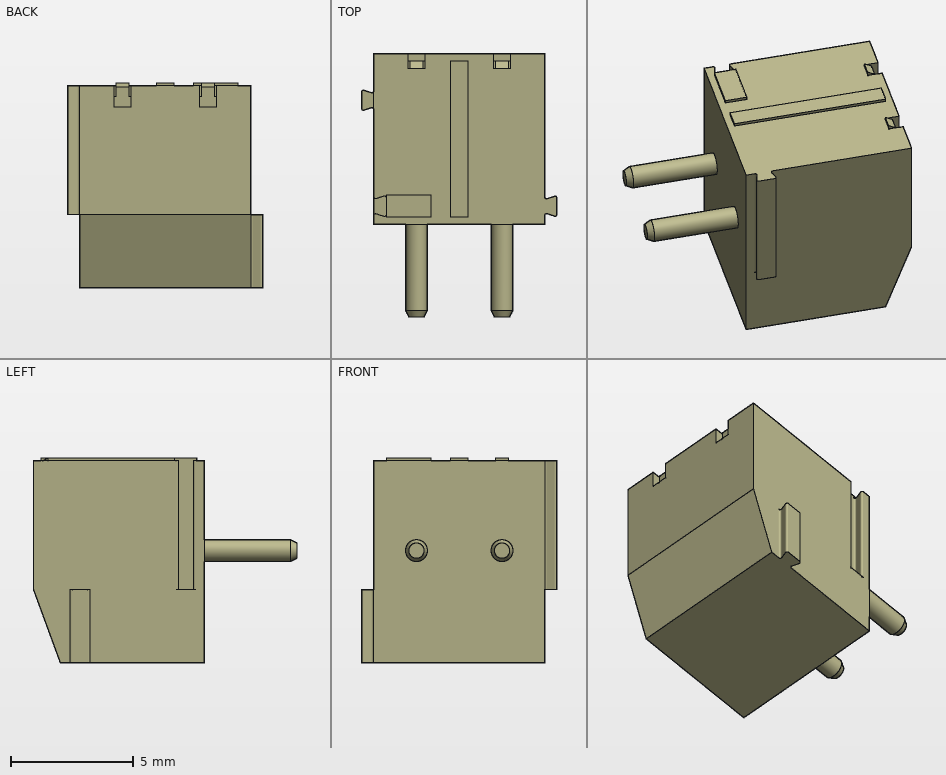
import cadquery as cq
import math

WIDTH = 7.01
DEPTH = 7.0
HEIGHT = 8.28
STEP_HEIGHT = 3.0
BEVEL_INSET = 1.1
LEFT_FACE = -WIDTH / 2
RIGHT_FACE = WIDTH / 2

DOVETAIL_ROOT = 0.56
DOVETAIL_ANGLE = 18.0
DOVETAIL_ROUND = 0.08
RAIL_DEPTH = 0.5
GROOVE_DEPTH = 0.52
FRONT_DOVETAIL_Y = 0.75
REAR_RAIL_Y = 5.09

PIN_PITCH = WIDTH / 2
PIN_XS = [-PIN_PITCH / 2, PIN_PITCH / 2]
PIN_Z = 4.6
PIN_LENGTH = 3.8
PIN_DIAMETER = 0.9
PIN_TIP_DIAMETER = 0.63
PIN_TIP_LENGTH = 0.27

NOTCH_WIDTH = 0.68
NOTCH_RUN = 0.6
NOTCH_DEPTH = 0.86
NOTCH_FRONT_Y = DEPTH - NOTCH_RUN
NOTCH_FLOOR_Z = HEIGHT - NOTCH_DEPTH

BUTTON_BASE_HEIGHT = NOTCH_DEPTH / 2
BUTTON_RUN = NOTCH_RUN / 2
BUTTON_HEAD_WIDTH = 0.54
BUTTON_SLOPE = 30.0

RAISED = 0.12
STRIP_WIDTH = 0.72
PLATE_MARGIN = 0.3
PAD_LENGTH = 1.84
PAD_DEPTH = 0.91


def dovetail(depth):
    """Closed dovetail outline flaring toward +X from a wall on X = 0, with rounded corners."""
    angle = math.radians(DOVETAIL_ANGLE)
    root = DOVETAIL_ROOT / 2
    tip = root + depth * math.tan(angle)
    tangent = DOVETAIL_ROUND / math.tan((math.pi / 2 - angle) / 2)
    along_x = tangent * math.cos(angle)
    along_y = tangent * math.sin(angle)
    return (
        cq.Workplane("XY")
        .moveTo(0, -root - tangent)
        .radiusArc((along_x, -root - along_y), DOVETAIL_ROUND)
        .lineTo(depth - along_x, -tip + along_y)
        .radiusArc((depth, -tip + tangent), -DOVETAIL_ROUND)
        .lineTo(depth, tip - tangent)
        .radiusArc((depth - along_x, tip - along_y), -DOVETAIL_ROUND)
        .lineTo(along_x, root + along_y)
        .radiusArc((0, root + tangent), DOVETAIL_ROUND)
        .close()
    )


def make_notch(x):
    """Box cutter for a notch in the top rear edge."""
    notch = cq.Workplane("XY").box(NOTCH_WIDTH, NOTCH_RUN, NOTCH_DEPTH, centered=(True, False, False))
    return notch.translate((x, NOTCH_FRONT_Y, NOTCH_FLOOR_Z))


def make_top_plate(left_x, length_x, length_y):
    """Thin plate on the top face, set back from the front edge by the plate margin."""
    plate = cq.Workplane("XY").box(length_x, length_y, RAISED, centered=False)
    return plate.translate((left_x, PLATE_MARGIN, HEIGHT))


def make_housing():
    """Block with a rear bevel, dovetail rails and groove, two notches and raised top plates."""
    block = (
        cq.Workplane("YZ")
        .polyline([
            (0, 0),
            (DEPTH - BEVEL_INSET, 0),
            (DEPTH, STEP_HEIGHT),
            (DEPTH, HEIGHT),
            (0, HEIGHT),
        ])
        .close()
        .extrude(WIDTH / 2, both=True)
    )
    upper_height = HEIGHT - STEP_HEIGHT
    right_rail = dovetail(RAIL_DEPTH).extrude(upper_height)
    right_rail = right_rail.translate((RIGHT_FACE, FRONT_DOVETAIL_Y, STEP_HEIGHT))
    left_rail = dovetail(RAIL_DEPTH).extrude(STEP_HEIGHT).mirror("YZ")
    left_rail = left_rail.translate((LEFT_FACE, REAR_RAIL_Y, 0))
    groove = dovetail(GROOVE_DEPTH).extrude(upper_height)
    groove = groove.translate((LEFT_FACE, FRONT_DOVETAIL_Y, STEP_HEIGHT))

    strip = make_top_plate(-STRIP_WIDTH / 2, STRIP_WIDTH, DEPTH - 2 * PLATE_MARGIN)
    pad = make_top_plate(LEFT_FACE + GROOVE_DEPTH, PAD_LENGTH, PAD_DEPTH)

    housing = block.union(right_rail).union(left_rail).cut(groove).union(strip).union(pad)
    for x in PIN_XS:
        housing = housing.cut(make_notch(x))
    return housing


def make_pin(x):
    """Round pin standing on the front face, with a tapered tip."""
    radius = PIN_DIAMETER / 2
    tip_radius = PIN_TIP_DIAMETER / 2
    return (
        cq.Workplane("YZ", origin=(x, 0, PIN_Z))
        .polyline([
            (0, 0),
            (0, radius),
            (PIN_TIP_LENGTH - PIN_LENGTH, radius),
            (-PIN_LENGTH, tip_radius),
            (-PIN_LENGTH, 0),
        ])
        .close()
        .revolve(360, (0, 0), (1, 0))
    )


def make_button(x):
    """Button against the notch's front wall, its head standing on a wider base."""
    base = cq.Workplane("XY").box(
        NOTCH_WIDTH, BUTTON_RUN, BUTTON_BASE_HEIGHT, centered=(True, False, False)
    )
    base = base.translate((x, NOTCH_FRONT_Y, NOTCH_FLOOR_Z))

    head_z = NOTCH_FLOOR_Z + BUTTON_BASE_HEIGHT
    ridge_z = HEIGHT + RAISED
    rear_y = NOTCH_FRONT_Y + BUTTON_RUN
    rear_z = ridge_z - BUTTON_RUN * math.tan(math.radians(BUTTON_SLOPE))
    head = (
        cq.Workplane("YZ", origin=(x, 0, 0))
        .polyline([
            (NOTCH_FRONT_Y, head_z),
            (rear_y, head_z),
            (rear_y, rear_z),
            (NOTCH_FRONT_Y, ridge_z),
        ])
        .close()
        .extrude(BUTTON_HEAD_WIDTH / 2, both=True)
    )
    return base.union(head)


housing = make_housing()
pins = [make_pin(x) for x in PIN_XS]
buttons = [make_button(x) for x in PIN_XS]

result = cq.Compound.makeCompound([
    housing.solids().val(),
    *[pin.solids().val() for pin in pins],
    *[button.solids().val() for button in buttons],
])